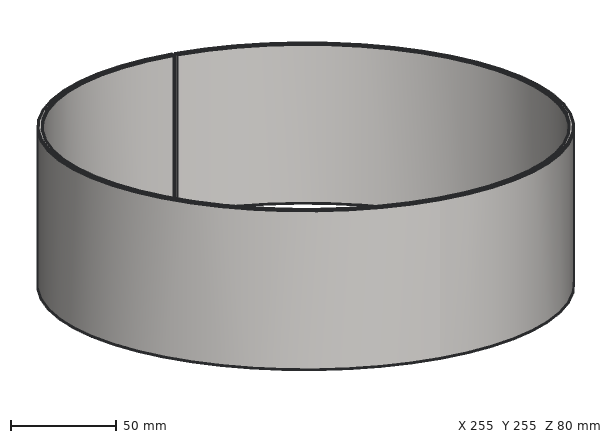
import cadquery as cq

outer_diameter = 255.0
height = 80.0
wall = 2.5
gap_width = 2.0
rim_chamfer = 0.5

outer_radius = outer_diameter / 2
inner_radius = outer_radius - wall

gap_depth = 2 * wall


def make_band():
    """Closed ring standing on the XY plane, with the inner and outer rims chamfered at both ends."""
    ring = cq.Workplane("XY").circle(outer_radius).circle(inner_radius).extrude(height)
    return ring.faces("|Z").edges().chamfer(rim_chamfer)


def make_gap():
    """Full-height slit on the -X side, with one edge on the XZ plane and the other toward +Y."""
    slit = cq.Workplane("XY").box(gap_depth, gap_width, height, centered=False)
    return slit.translate((-outer_radius, 0, 0))


result = make_band().cut(make_gap())